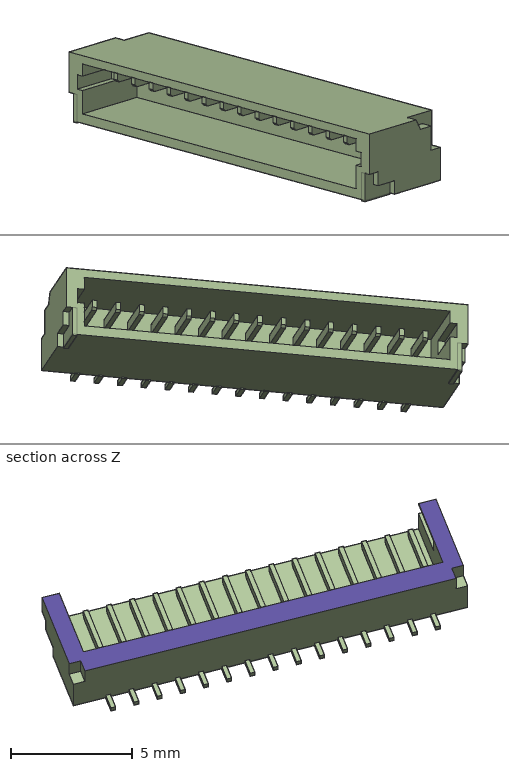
import cadquery as cq

length = 17.0
depth = 4.25
overall_height = 2.95
standoff = 0.05
half_length = length / 2
top = overall_height
body_height = overall_height - standoff

end_wall = 0.76
roof = 0.35
floor = 0.4
back_wall = 1.0
cavity_depth = depth - back_wall
cavity_length = length - 2 * end_wall
cavity_height = body_height - roof - floor

groove_depth = 0.29
groove_height = 0.61
groove_length = 2.04
groove_drop = 0.88

contact_count = 15
pitch = length / (contact_count + 2)
contact_width = 0.2
pin_height = 0.4
pin_drop = 0.83
pin_length = 2.04
pin_bevel = 0.1
tail_thickness = 0.2
tail_reach = 0.7
tail_overlap = 0.1

relief_width = 0.5
relief_drop = 1.5
relief_step = 0.56
relief_shelf_drop = 0.46
relief_shelf_end = 1.2
relief_length = 1.46

tab_inset = 0.25
tab_thickness = 0.2
tab_length = 1.5
tab_foot_height = 0.63
tab_post_length = 0.53
tab_height = 1.22


def box(x_size, y_size, z_size, x_middle, y_start, z_start):
    """Box centred on x_middle, growing towards +Y and +Z."""
    return cq.Workplane("XY").box(x_size, y_size, z_size, centered=(True, False, False)).translate(
        (x_middle, y_start, z_start)
    )


def end_profile(points, thickness, inset):
    """Prism of a YZ outline at the -X end, starting inset from the end face."""
    return cq.Workplane("YZ").polyline(points).close().extrude(thickness).translate(
        (inset - half_length, 0, 0)
    )


def both_ends(shape):
    """The shape and its mirror image at the other end."""
    return [shape, shape.mirror("YZ")]


def make_housing():
    housing = box(length, depth, body_height, 0, 0, standoff)
    housing = housing.cut(box(cavity_length, cavity_depth, cavity_height, 0, 0, standoff + floor))
    grooves_span = cavity_length + 2 * groove_depth
    grooves_bottom = top - groove_drop - groove_height
    return housing.cut(box(grooves_span, groove_length, groove_height, 0, 0, grooves_bottom))


def make_rear_relief():
    points = [
        (depth, top),
        (depth, top - relief_drop),
        (depth - relief_step, top - relief_drop),
        (depth - relief_step, top - relief_shelf_drop),
        (depth - relief_shelf_end, top - relief_shelf_drop),
        (depth - relief_length, top),
    ]
    return end_profile(points, relief_width, 0)


def make_tab_prism(thickness, inset):
    points = [
        (0, 0),
        (tab_length, 0),
        (tab_length, tab_foot_height),
        (tab_post_length, tab_foot_height),
        (tab_post_length, tab_height),
        (0, tab_height),
    ]
    return end_profile(points, thickness, inset)


def make_contact(x_middle):
    pin_bottom = top - pin_drop - pin_height
    pin = box(contact_width, pin_length, pin_height, x_middle, cavity_depth - pin_length, pin_bottom)
    pin = pin.faces("<Y").edges("<Z").chamfer(pin_bevel)
    tail_length = tail_overlap + tail_reach
    tail = box(contact_width, tail_length, tail_thickness, x_middle, depth - tail_overlap, 0)
    return [pin, tail]


result = make_housing()
for relief in both_ends(make_rear_relief()):
    result = result.cut(relief)
for pocket in both_ends(make_tab_prism(tab_inset, 0)):
    result = result.cut(pocket)
for index in range(contact_count):
    for piece in make_contact((index - (contact_count - 1) / 2) * pitch):
        result = result.union(piece)
for tab in both_ends(make_tab_prism(tab_thickness, tab_inset)):
    result = result.union(tab, clean=False)